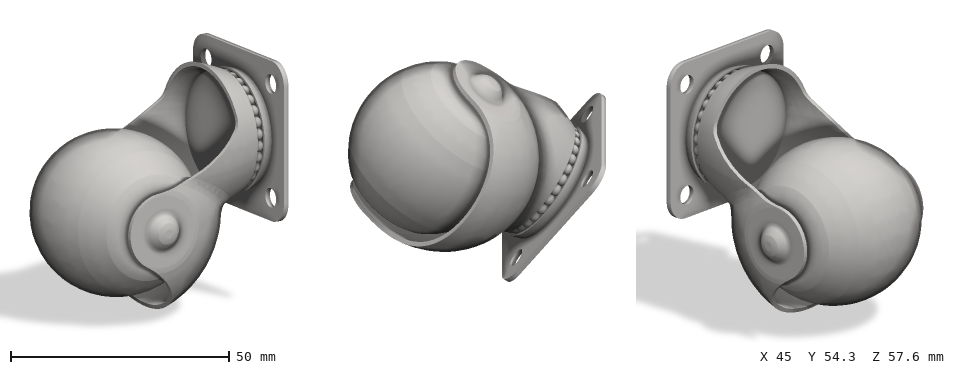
import cadquery as cq
import math


PLATE_SIZE = 38.0
PLATE_THICKNESS = 1.25
PLATE_CORNER_RADIUS = 5.0
HOLE_DIAMETER = 4.5
HOLE_SPACING = 27.0
RACE_BACK_RADIUS = 14.0
RACE_FRONT_RADIUS = 14.7
RACE_FRONT_Y = -3.7
KING_PIN_DIAMETER = 10.0

BALL_COUNT = 30
BALL_RADIUS = 1.5
BALL_RING_OUTER_RADIUS = 14.35
BALL_START_ANGLE = 8.4
BALL_GAP = 1.85
BALL_CIRCLE_RADIUS = BALL_RING_OUTER_RADIUS - BALL_RADIUS
BALL_Y = RACE_FRONT_Y - BALL_GAP / 2

AXLE_Y = -35.0
AXLE_Z = -15.1

SHEET = 1.05
NECK_BACK_Y = RACE_FRONT_Y - BALL_GAP
NECK_FRONT_Y = -11.45
NECK_END_Y = -29.95
NECK_BACK_RADIUS = 14.7
NECK_END_RADIUS = 19.3
NECK_CURVE_RADIUS = 57.55
NECK_BLEND_RADIUS = 4.6
FENDER_RADIUS = 25.0
FENDER_CURVE_RADIUS = 20.65
FENDER_HALF_WIDTH = 20.1
FENDER_BLEND_RADIUS = 5.0
FENDER_CURVE_OFFSET = FENDER_RADIUS - FENDER_CURVE_RADIUS

NECK_SEAM_Y = -16.7
NECK_SEAM_Z = -11.5

EAR_RADIUS = 8.9
UPPER_ARC_RADIUS = 38.3
UPPER_ARC_FORWARD = 4.3
LOWER_ARC_RADIUS = 28.8
LOWER_ARC_FORWARD = 18.9
FRONT_CORNER_RADIUS = 4.05

WHEEL_RADIUS = 19.3
WHEEL_HALF_WIDTH = 16.9
WHEEL_FACE_RADIUS = 8.75
TREAD_HALF_WIDTH = 10.0
TREAD_EDGE_RADIUS = 16.8
SHOULDER_HALF_WIDTH = 15.55
SHOULDER_RADIUS = 12.55
SHOULDER_BULGE = 0.3
FACE_EDGE_BULGE = 0.35

AXLE_DIAMETER = 4.9
HEAD_BASE_RADIUS = 5.0
HEAD_HALF_LENGTH = 22.5
HEAD_FLARE_HEIGHT = 0.6
HEAD_FLARE_RADIUS = 4.0
HEAD_CROWN_RADIUS = 2.55
HEAD_CROWN_HEIGHT = 2.0
HEAD_SIDE_BULGE = 0.1
HEAD_CROWN_BULGE = 0.085
HEAD_TIP_RADIUS = 1.05


def cylinder_along_y(radius, back_y, front_y):
    return cq.Workplane("XZ", origin=(0, back_y, 0)).circle(radius).extrude(back_y - front_y)


def make_balls():
    ring = None
    for i in range(BALL_COUNT):
        angle = math.radians(BALL_START_ANGLE + i * 360 / BALL_COUNT)
        x = BALL_CIRCLE_RADIUS * math.cos(angle)
        z = BALL_CIRCLE_RADIUS * math.sin(angle)
        ball = cq.Workplane("XY").sphere(BALL_RADIUS).translate((x, BALL_Y, z))
        ring = ball if ring is None else ring.union(ball)
    return ring


def make_ball_groove():
    """Ring-shaped cutter for the groove in which the balls sit."""
    groove = cq.Solid.makeTorus(
        BALL_CIRCLE_RADIUS, BALL_RADIUS, cq.Vector(0, BALL_Y, 0), cq.Vector(0, 1, 0)
    )
    return cq.Workplane("XY").add(groove)


def make_plate():
    plate = (
        cq.Workplane("XZ")
        .rect(PLATE_SIZE, PLATE_SIZE)
        .extrude(PLATE_THICKNESS)
        .edges("|Y")
        .fillet(PLATE_CORNER_RADIUS)
        .faces("<Y")
        .workplane(origin=(0, 0, 0))
        .rect(HOLE_SPACING, HOLE_SPACING, forConstruction=True)
        .vertices()
        .hole(HOLE_DIAMETER)
    )
    race = (
        cq.Workplane("XY")
        .polyline(
            [
                (0, -PLATE_THICKNESS),
                (RACE_BACK_RADIUS, -PLATE_THICKNESS),
                (RACE_FRONT_RADIUS, RACE_FRONT_Y),
                (0, RACE_FRONT_Y),
            ]
        )
        .close()
        .revolve(360, (0, 0), (0, 1))
        .cut(make_ball_groove())
    )
    king_pin = cylinder_along_y(KING_PIN_DIAMETER / 2, -PLATE_THICKNESS, NECK_BACK_Y - SHEET)
    return plate.union(race).union(king_pin)


def make_neck(inset):
    """Flared neck about the swivel axis, its surface moved inwards by the inset."""
    flare_angle = math.atan2(NECK_END_RADIUS - NECK_BACK_RADIUS, NECK_BACK_Y - NECK_END_Y)
    chord = math.hypot(NECK_END_RADIUS - NECK_BACK_RADIUS, NECK_BACK_Y - NECK_END_Y)
    bulge = NECK_CURVE_RADIUS - math.sqrt(NECK_CURVE_RADIUS**2 - (chord / 2) ** 2)
    middle_radius = (NECK_BACK_RADIUS + NECK_END_RADIUS) / 2 + bulge * math.cos(flare_angle)
    middle_y = (NECK_BACK_Y + NECK_END_Y) / 2 + bulge * math.sin(flare_angle)
    return (
        cq.Workplane("XY")
        .moveTo(0, NECK_BACK_Y)
        .lineTo(NECK_BACK_RADIUS - inset, NECK_BACK_Y)
        .threePointArc((middle_radius - inset, middle_y), (NECK_END_RADIUS - inset, NECK_END_Y))
        .lineTo(0, NECK_END_Y)
        .close()
        .revolve(360, (0, 0), (0, 1))
    )


def make_fender(inset):
    """Round fender about the axle, its surface moved inwards by the inset."""
    half_width = FENDER_HALF_WIDTH - inset
    curve_radius = FENDER_CURVE_RADIUS - inset
    flat_radius = FENDER_CURVE_OFFSET + math.sqrt(curve_radius**2 - half_width**2)
    return (
        cq.Workplane("XY", origin=(0, AXLE_Y, AXLE_Z))
        .moveTo(-half_width, 0)
        .lineTo(-half_width, -flat_radius)
        .threePointArc((0, inset - FENDER_RADIUS), (half_width, -flat_radius))
        .lineTo(half_width, 0)
        .close()
        .revolve(360, (0, 0), (1, 0))
        .edges("%CIRCLE")
        .edges("<X or >X")
        .fillet(FENDER_BLEND_RADIUS - inset)
    )


def point_towards(start, target, distance):
    """Point at a distance from the start, on the way to the target."""
    length = math.hypot(target[0] - start[0], target[1] - start[1])
    return (
        start[0] + (target[0] - start[0]) * distance / length,
        start[1] + (target[1] - start[1]) * distance / length,
    )


def arc_middle(center, radius, start, end):
    """Middle of the shorter arc between two points of a circle."""
    chord_middle = ((start[0] + end[0]) / 2, (start[1] + end[1]) / 2)
    return point_towards(center, chord_middle, radius)


def make_outline_prism():
    """Side outline of the fork in the (Y, Z) plane, extruded right across the caster."""
    axle = (AXLE_Y, AXLE_Z)
    upper_rise = math.sqrt((UPPER_ARC_RADIUS + EAR_RADIUS) ** 2 - UPPER_ARC_FORWARD**2)
    upper_center = (AXLE_Y - UPPER_ARC_FORWARD, AXLE_Z + upper_rise)
    lower_drop = math.sqrt((LOWER_ARC_RADIUS + EAR_RADIUS) ** 2 - LOWER_ARC_FORWARD**2)
    lower_center = (AXLE_Y - LOWER_ARC_FORWARD, AXLE_Z - lower_drop)

    corner_reach = NECK_FRONT_Y - upper_center[0]
    corner = (NECK_FRONT_Y, upper_center[1] - math.sqrt(UPPER_ARC_RADIUS**2 - corner_reach**2))
    ear_top = point_towards(axle, upper_center, EAR_RADIUS)
    ear_bottom = point_towards(axle, lower_center, EAR_RADIUS)
    ear_front = (AXLE_Y - EAR_RADIUS, AXLE_Z)
    bottom_z = AXLE_Z - FENDER_RADIUS
    bottom_rise = bottom_z - lower_center[1]
    bottom = (lower_center[0] + math.sqrt(LOWER_ARC_RADIUS**2 - bottom_rise**2), bottom_z)
    top_z = PLATE_SIZE / 2

    return (
        cq.Workplane("YZ")
        .moveTo(0, top_z)
        .lineTo(NECK_FRONT_Y, top_z)
        .lineTo(*corner)
        .threePointArc(arc_middle(upper_center, UPPER_ARC_RADIUS, corner, ear_top), ear_top)
        .threePointArc(ear_front, ear_bottom)
        .threePointArc(arc_middle(lower_center, LOWER_ARC_RADIUS, ear_bottom, bottom), bottom)
        .lineTo(0, bottom_z)
        .close()
        .extrude(FENDER_RADIUS, both=True)
        .edges(cq.NearestToPointSelector((0, *corner)))
        .fillet(FRONT_CORNER_RADIUS)
    )


def make_fork_form(inset):
    """Neck and fender joined, trimmed to the side outline and blended where they meet."""
    form = make_neck(inset).union(make_fender(inset)).intersect(make_outline_prism())
    seam = form.edges(cq.NearestToPointSelector((0, NECK_SEAM_Y, NECK_SEAM_Z)))
    return seam.fillet(NECK_BLEND_RADIUS + inset)


def make_fork():
    floor_y = NECK_BACK_Y - SHEET
    floor_slab = cylinder_along_y(FENDER_RADIUS, NECK_BACK_Y, floor_y)
    inside = make_fork_form(SHEET).cut(floor_slab)
    king_pin_hole = cylinder_along_y(KING_PIN_DIAMETER / 2, NECK_BACK_Y, floor_y)
    return (
        make_fork_form(0)
        .cut(inside)
        .cut(king_pin_hole)
        .cut(make_ball_groove())
        .cut(make_axle_rod(FENDER_HALF_WIDTH))
    )


def make_axle_rod(half_length):
    return (
        cq.Workplane("YZ", origin=(0, AXLE_Y, AXLE_Z))
        .circle(AXLE_DIAMETER / 2)
        .extrude(half_length, both=True)
    )


def make_wheel():
    """Barrel-shaped wheel: an arc across the tread, a shoulder arc and a rounded face edge on each side."""
    return (
        cq.Workplane("XY", origin=(0, AXLE_Y, AXLE_Z))
        .moveTo(-WHEEL_HALF_WIDTH, 0)
        .lineTo(-WHEEL_HALF_WIDTH, WHEEL_FACE_RADIUS)
        .sagittaArc((-SHOULDER_HALF_WIDTH, SHOULDER_RADIUS), FACE_EDGE_BULGE)
        .sagittaArc((-TREAD_HALF_WIDTH, TREAD_EDGE_RADIUS), SHOULDER_BULGE)
        .threePointArc((0, WHEEL_RADIUS), (TREAD_HALF_WIDTH, TREAD_EDGE_RADIUS))
        .sagittaArc((SHOULDER_HALF_WIDTH, SHOULDER_RADIUS), SHOULDER_BULGE)
        .sagittaArc((WHEEL_HALF_WIDTH, WHEEL_FACE_RADIUS), FACE_EDGE_BULGE)
        .lineTo(WHEEL_HALF_WIDTH, 0)
        .close()
        .revolve(360, (0, 0), (1, 0))
        .cut(make_axle_rod(WHEEL_HALF_WIDTH))
    )


def make_rivet_head():
    """Domed head on the +X end, with a hollow flare where it sits on the fork."""
    base_x = FENDER_HALF_WIDTH
    flare_x = base_x + HEAD_FLARE_HEIGHT
    flare_middle_x = base_x + HEAD_FLARE_HEIGHT / 4
    flare_middle_radius = (HEAD_BASE_RADIUS + HEAD_FLARE_RADIUS) / 2
    crown_x = base_x + HEAD_CROWN_HEIGHT
    return (
        cq.Workplane("XY", origin=(0, AXLE_Y, AXLE_Z))
        .moveTo(base_x, 0)
        .lineTo(base_x, HEAD_BASE_RADIUS)
        .threePointArc((flare_middle_x, flare_middle_radius), (flare_x, HEAD_FLARE_RADIUS))
        .sagittaArc((crown_x, HEAD_CROWN_RADIUS), HEAD_SIDE_BULGE)
        .sagittaArc((HEAD_HALF_LENGTH, HEAD_TIP_RADIUS), HEAD_CROWN_BULGE)
        .lineTo(HEAD_HALF_LENGTH, 0)
        .close()
        .revolve(360, (0, 0), (1, 0))
    )


def make_axle():
    head = make_rivet_head()
    return make_axle_rod(FENDER_HALF_WIDTH).union(head).union(head.mirror("YZ"))


plate = make_plate()
balls = make_balls()
fork = make_fork()
wheel = make_wheel()
axle = make_axle()

bodies = [plate, balls, fork, wheel, axle]
result = cq.Compound.makeCompound([body.solids().val() for body in bodies])